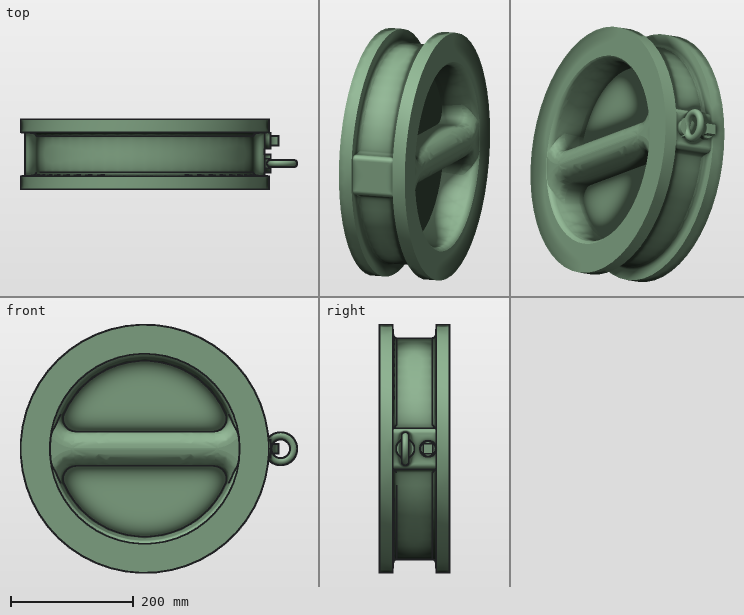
import cadquery as cq
import math


body_length = 114.0
flange_radius = 404.0 / 2
front_face_y = -body_length / 2
back_face_y = body_length / 2

flange_rim_width = 21.5
flange_root_width = 22.6
groove_radius = 180.0
groove_fillet = 5.4

lip_radius = 11.6
lip_depth = 10.0
lip_end_radius = 148.8
taper_end_depth = 50.0
floor_depth = 58.0
floor_radius = 143.0
taper_slope = (lip_end_radius - floor_radius) / (taper_end_depth - lip_depth)

bar_recess = 0.5
bar_half_width = 28.0
bar_top_fillet = 27.0
bar_top_half_length = 114.5
bar_foot_half_length = 112.0
bar_end_radius = 250.0
bar_wall_overlap = 0.05
bar_top_wall_radius = floor_radius + taper_slope * (taper_end_depth - bar_recess)

lug_face_x = 195.0
lug_half_height = 33.0
lug_edge_radius = 8.0
lug_root_fillet = 7.3

fitting_height = 10.0
plug_y = 22.0
plug_diameter = 26.44
plug_chamfer = 1.0
plug_square = 16.0
plug_square_length = 12.5
eye_y = -15.0
eye_base_diameter = 30.0
eye_neck_width = 15.0
eye_hole_diameter = 30.0
eye_rod_diameter = 12.0
eye_tip_x = 248.0


def polar(radius, angle):
    return (radius * math.cos(angle), radius * math.sin(angle))


def mirror_x(point):
    return (-point[0], point[1])


def mirror_z(point):
    return (point[0], -point[1])


def plane_at_depth(depth):
    """XZ plane at a depth behind the inlet face; its normal points to -Y."""
    return cq.Workplane("XZ", origin=(0, front_face_y + depth, 0))


def corner_arc(wall_radius, straight):
    """Arc tangent to the bar side and to the bore wall: start on the bar, middle, end on the wall."""
    corner = (wall_radius**2 - straight**2 - bar_half_width**2) / (2 * (wall_radius + bar_half_width))
    centre_z = bar_half_width + corner
    wall_angle = math.atan2(centre_z, straight)
    middle = polar(corner, (wall_angle - math.pi / 2) / 2)
    start = (straight, bar_half_width)
    return start, (straight + middle[0], centre_z + middle[1]), polar(wall_radius, wall_angle)


def make_body():
    rim_y = back_face_y - flange_rim_width
    root_y = back_face_y - flange_root_width
    fillet_y = root_y - groove_fillet
    fillet_top = groove_radius + groove_fillet
    inset = groove_fillet * (1 - math.sqrt(0.5))
    profile = (
        cq.Workplane("XY")
        .moveTo(0, front_face_y)
        .lineTo(flange_radius, front_face_y)
        .lineTo(flange_radius, -rim_y)
        .lineTo(fillet_top, -root_y)
        .threePointArc((groove_radius + inset, -root_y + inset), (groove_radius, -fillet_y))
        .lineTo(groove_radius, fillet_y)
        .threePointArc((groove_radius + inset, root_y - inset), (fillet_top, root_y))
        .lineTo(flange_radius, rim_y)
        .lineTo(flange_radius, back_face_y)
        .lineTo(0, back_face_y)
        .close()
    )
    return profile.revolve(360, (0, 0, 0), (0, 1, 0))


def make_lug():
    """Lug on the +X side, blended into the groove floor and rounded on its outer edges."""
    fillet_z = lug_half_height + lug_root_fillet
    fillet_x = math.sqrt((groove_radius + lug_root_fillet) ** 2 - fillet_z**2)
    foot_angle = math.atan2(fillet_z, fillet_x)
    foot = polar(groove_radius, foot_angle)
    middle_angle = (foot_angle + math.pi + 1.5 * math.pi) / 2
    middle = polar(lug_root_fillet, middle_angle)
    root_middle = (fillet_x + middle[0], fillet_z + middle[1])
    root_end = (fillet_x, lug_half_height)
    edge_inset = lug_edge_radius * (1 - math.sqrt(0.5))
    edge_start = (lug_face_x - lug_edge_radius, lug_half_height)
    edge_middle = (lug_face_x - edge_inset, lug_half_height - edge_inset)
    edge_end = (lug_face_x, lug_half_height - lug_edge_radius)
    lug_length = body_length - 2 * flange_rim_width
    return (
        cq.Workplane("XZ")
        .moveTo(0, 0)
        .lineTo(*foot)
        .threePointArc(root_middle, root_end)
        .lineTo(*edge_start)
        .threePointArc(edge_middle, edge_end)
        .lineTo(*mirror_z(edge_end))
        .threePointArc(mirror_z(edge_middle), mirror_z(edge_start))
        .lineTo(*mirror_z(root_end))
        .threePointArc(mirror_z(root_middle), mirror_z(foot))
        .close()
        .extrude(lug_length / 2, both=True)
    )


def draw_bar_outline(plane, wall_radius, straight):
    """Bar with flared ends; the ends run on radially into the body."""
    start, middle, end = corner_arc(wall_radius + bar_wall_overlap, straight)
    outer = polar(bar_end_radius, math.atan2(end[1], end[0]))
    return (
        plane.moveTo(*mirror_x(start))
        .lineTo(*start)
        .threePointArc(middle, end)
        .lineTo(*outer)
        .lineTo(*mirror_z(outer))
        .lineTo(*mirror_z(end))
        .threePointArc(mirror_z(middle), mirror_z(start))
        .lineTo(*mirror_z(mirror_x(start)))
        .threePointArc(mirror_z(mirror_x(middle)), mirror_z(mirror_x(end)))
        .lineTo(*mirror_z(mirror_x(outer)))
        .lineTo(*mirror_x(outer))
        .lineTo(*mirror_x(end))
        .threePointArc(mirror_x(middle), mirror_x(start))
        .close()
    )


def make_bar():
    """Hinge bar that follows the bore taper, with its long inlet edges fully rounded."""
    top = draw_bar_outline(plane_at_depth(bar_recess), bar_top_wall_radius, bar_top_half_length)
    taper_end = top.workplane(offset=bar_recess - taper_end_depth)
    taper = draw_bar_outline(taper_end, floor_radius, bar_foot_half_length).loft(ruled=True)
    top_y = front_face_y + bar_recess
    margin = 1.0
    side_box = cq.selectors.BoxSelector(
        (-lip_end_radius, top_y - margin, -2 * bar_half_width),
        (lip_end_radius, top_y + margin, 2 * bar_half_width),
    )
    taper = taper.edges(side_box).fillet(bar_top_fillet)
    foot = draw_bar_outline(plane_at_depth(taper_end_depth), floor_radius, bar_foot_half_length)
    return taper, foot.extrude(taper_end_depth - floor_depth)


def make_bore():
    """Round bore from the inlet face down to the valve plate."""
    lip_end_y = front_face_y + lip_depth
    taper_end_y = front_face_y + taper_end_depth
    floor_y = front_face_y + floor_depth
    lip_sweep = math.asin(lip_depth / lip_radius)

    def lip_point(angle):
        x = lip_end_radius + lip_radius * (1 - math.cos(angle))
        return (x, lip_end_y - lip_radius * math.sin(angle))

    return (
        cq.Workplane("XY")
        .moveTo(0, front_face_y)
        .lineTo(*lip_point(lip_sweep))
        .threePointArc(lip_point(lip_sweep / 2), lip_point(0))
        .lineTo(floor_radius, taper_end_y)
        .lineTo(floor_radius, floor_y)
        .lineTo(0, floor_y)
        .close()
        .revolve(360, (0, 0, 0), (0, 1, 0))
    )


def make_plug():
    base = (
        cq.Workplane("YZ", origin=(lug_face_x, plug_y, 0))
        .circle(plug_diameter / 2)
        .extrude(fitting_height)
        .faces(">X")
        .chamfer(plug_chamfer)
    )
    return base.faces(">X").workplane().rect(plug_square, plug_square).extrude(plug_square_length)


def make_eye_bolt():
    ring_radius = (eye_hole_diameter + eye_rod_diameter) / 2
    ring_x = eye_tip_x - ring_radius - eye_rod_diameter / 2
    base_plane = cq.Workplane("YZ", origin=(lug_face_x, eye_y, 0))
    base = base_plane.circle(eye_base_diameter / 2).extrude(fitting_height)
    neck = base_plane.rect(eye_neck_width, eye_base_diameter).extrude(fitting_height)
    ring = cq.Workplane(
        cq.Solid.makeTorus(
            ring_radius, eye_rod_diameter / 2, cq.Vector(ring_x, eye_y, 0), cq.Vector(0, 1, 0)
        )
    )
    return base.union(neck).union(ring)


lug = make_lug()
bar_taper, bar_foot = make_bar()
pocket = make_bore().cut(bar_taper).cut(bar_foot)

result = make_body().union(lug).union(lug.mirror("YZ")).cut(pocket)
result = result.union(make_plug()).union(make_eye_bolt())